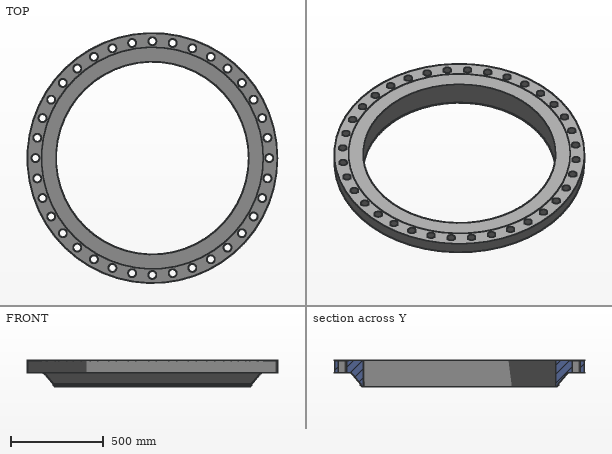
import cadquery as cq

flange_diameter = 1346.0
flange_thickness = 69.0
overall_height = 144.0
bore_diameter = 1035.0

face_diameter = 1193.0
face_height = 1.6

hub_base_diameter = 1169.0
hub_fillet_radius = 12.0
hub_end_diameter = 1068.0
weld_end_height = 16.0
bevel_height = 10.0
land_width = 5.0

bolt_count = 36
bolt_circle_diameter = 1257.0
bolt_hole_diameter = 42.0

top = overall_height
flange_top = top - face_height
flange_bottom = top - flange_thickness
flange_radius = flange_diameter / 2
face_radius = face_diameter / 2
bore_radius = bore_diameter / 2
hub_base_radius = hub_base_diameter / 2
hub_end_radius = hub_end_diameter / 2


def revolved_body():
    """Revolve the radial section, drawn as (radius, height), about Z."""
    section = [
        (bore_radius, 0),
        (bore_radius + land_width, 0),
        (hub_end_radius, bevel_height),
        (hub_end_radius, weld_end_height),
        (hub_base_radius, flange_bottom),
        (flange_radius, flange_bottom),
        (flange_radius, flange_top),
        (face_radius, flange_top),
        (face_radius, top),
        (bore_radius, top),
    ]
    body = cq.Workplane("XZ").polyline(section).close().revolve(360, (0, 0, 0), (0, 1, 0))
    hub_base_edge = cq.selectors.RadiusNthSelector(3)
    return body.edges("%CIRCLE").edges(hub_base_edge).fillet(hub_fillet_radius)


def bolt_holes():
    """Cylinders through the flange, evenly spaced with one on the +X axis."""
    return (
        cq.Workplane("XY")
        .polarArray(bolt_circle_diameter / 2, 0, 360, bolt_count)
        .circle(bolt_hole_diameter / 2)
        .extrude(overall_height)
    )


result = revolved_body().cut(bolt_holes())